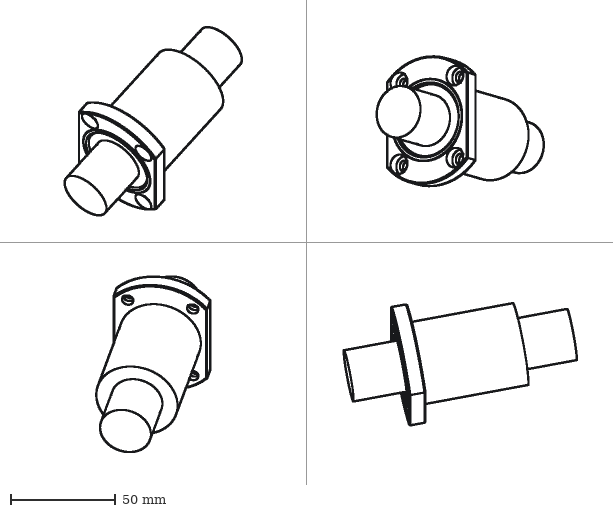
import cadquery as cq

shaft_length = 109.0
shaft_diameter = 25.1
shaft_overhang = 25.1

body_diameter = 40.0
body_length = shaft_length - 2 * shaft_overhang
body_front = shaft_overhang

flange_diameter = 62.0
flange_width = 46.0
flange_thickness = 8.0
flange_chamfer = 0.5

seam_size = 0.2
recess_mouth_diameter = 36.4
recess_floor_diameter = 34.8
recess_depth = 1.0

hole_diameter = 5.5
counterbore_diameter = 9.5
counterbore_depth = 5.0
hole_spacing_x = 31.9
hole_spacing_z = 40.0


def cylinder(diameter, start, length):
    """Solid cylinder along +Y that begins at y = start."""
    plane = cq.Workplane("XZ", origin=(0, start, 0))
    return plane.circle(diameter / 2).extrude(-length)


def make_flange():
    """Round flange with two flats and chamfered face edges."""
    disc = cylinder(flange_diameter, body_front, flange_thickness)
    slab = cq.Workplane("XY").box(flange_width, 2 * shaft_length, flange_diameter)
    return disc.intersect(slab).faces("<Y or >Y").edges().chamfer(flange_chamfer)


def revolved(points):
    """Revolve a closed (radius, y) profile about the Y axis."""
    profile = cq.Workplane("XY").polyline(points).close()
    return profile.revolve(360, (0, 0, 0), (0, 1, 0))


def make_recess():
    """Tapered recess in the front face."""
    return revolved([
        (0, body_front),
        (recess_mouth_diameter / 2, body_front),
        (recess_floor_diameter / 2, body_front + recess_depth),
        (0, body_front + recess_depth),
    ])


def make_seam():
    """Fine bevelled seam just inside the body diameter, with a straight outer wall."""
    seam_radius = body_diameter / 2
    return revolved([
        (seam_radius - seam_size, body_front),
        (seam_radius, body_front),
        (seam_radius, body_front + seam_size),
    ])


def make_mounting_holes():
    """Four counterbored through holes."""
    holes = cq.Workplane("XY")
    for x in (-hole_spacing_x / 2, hole_spacing_x / 2):
        for z in (-hole_spacing_z / 2, hole_spacing_z / 2):
            through = cylinder(hole_diameter, body_front, flange_thickness)
            counterbore = cylinder(counterbore_diameter, body_front, counterbore_depth)
            holes = holes.add(through.union(counterbore).translate((x, 0, z)))
    return holes.combine()


body = cylinder(body_diameter, body_front, body_length)
nut = body.union(make_flange())
nut = nut.cut(make_recess()).cut(make_seam()).cut(make_mounting_holes())
shaft = cylinder(shaft_diameter, 0, shaft_length)
result = nut.union(shaft)